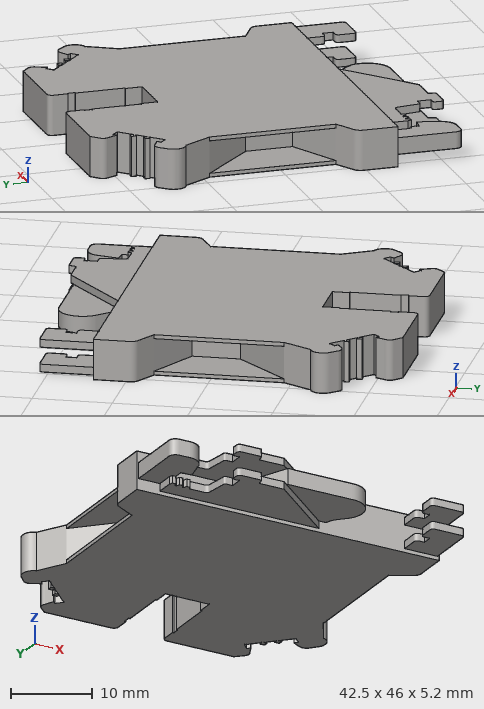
import cadquery as cq


THICKNESS = 5.2
SKIN = 0.5
PLATE_THICKNESS = 1.0
CORE = THICKNESS - 2 * SKIN
CENTER_THICKNESS = CORE - 2 * PLATE_THICKNESS

OVERALL_LENGTH = 45.95
FOOT_DEPTH = 8.9
TOP_Y = OVERALL_LENGTH - FOOT_DEPTH
HALF_WIDTH = 42.5 / 2
WAIST_HALF = 18.0
WAIST_TOP = 23.15
WAIST_BOTTOM = 6.95
BASE_SHOULDER_Y = 5.15
BASE_FILLET = 1.15

SLOT_BOTTOM_HALF = 3.1
SLOT_HALF = 3.25
SLOT_GROOVE_HALF = 3.45
SLOT_BOTTOM_Y = 25.05
SLOT_STEP_Y = 27.2
SLOT_GROOVE_Y = (33.55, 34.5)
SLOT_FILLET = 0.65

LUG_SIZE = 0.65
LUG_CORNERS = [(14.9, 32.2), (16.2, 30.9)]

POCKET_DEPTH = 6.8
POCKET_FLOOR_Y = (10.35, WAIST_TOP - POCKET_DEPTH)

FOOT_OUTER = 21.0
HOOK_INNER = -17.35
HOOK_BOTTOM = -8.45
HOOK_FILLET = 0.9
LOBE_BOTTOM = -7.5

FIXED_INNER = 16.35
FIXED_BOTTOM = -6.8
FIXED_NOTCH_X = 17.55
FIXED_NOTCH_Y = (-4.15, -2.8)
FIXED_FILLET = 0.45

TEETH = 3
TOOTH_PITCH = 1.0
TOOTH_TIP = 0.45
TOOTH_SLOPE = 0.2
TOOTH_ROOT_Y = -2.35
TOOTH_TIP_Y = -2.8
PLATE_EDGE_X = -12.05
PLATE_NECK = (-12.18, -5.8)
NOTCH_FLOOR_X = -11.07
PLATE_SHOULDER_X = -12.65
PLATE_HEEL_Y = -7.95
PLATE_FILLET = 0.45
JAW_FILLET = 0.28

PLATE_LEVELS = [-CORE / 2, CORE / 2 - PLATE_THICKNESS]


def round_corners(body, corners, radius):
    """Fillet the upright edges that stand at the given XY corners."""
    level = body.val().Center().z
    for corner_x, corner_y in corners:
        nearest = cq.selectors.NearestToPointSelector((corner_x, corner_y, level))
        body = body.edges("|Z").edges(nearest).fillet(radius)
    return body


def half_housing():
    """Right half of the housing, from the symmetry plane outwards."""
    low_groove, high_groove = SLOT_GROOVE_Y
    profile = (
        cq.Workplane("XY", origin=(0, 0, -THICKNESS / 2))
        .moveTo(0, 0)
        .lineTo(0, SLOT_BOTTOM_Y)
        .lineTo(SLOT_BOTTOM_HALF, SLOT_BOTTOM_Y)
        .lineTo(SLOT_BOTTOM_HALF, SLOT_STEP_Y)
        .lineTo(SLOT_HALF, SLOT_STEP_Y)
        .lineTo(SLOT_HALF, low_groove)
        .lineTo(SLOT_GROOVE_HALF, low_groove)
        .lineTo(SLOT_GROOVE_HALF, high_groove)
        .lineTo(SLOT_HALF, high_groove)
        .lineTo(SLOT_HALF, TOP_Y - SLOT_FILLET)
        .radiusArc((SLOT_HALF + SLOT_FILLET, TOP_Y), SLOT_FILLET)
        .lineTo(13.33, TOP_Y)
        .lineTo(14.25, 36.15)
        .threePointArc((14.55, 35.6), (14.45, 35.0))
        .lineTo(13.88, 33.77)
        .lineTo(13.45, 34.1)
        .lineTo(12.7, 33.3)
        .lineTo(17.32, 28.65)
        .lineTo(18.05, 29.4)
        .lineTo(17.7, 29.85)
        .lineTo(18.8, 30.45)
        .threePointArc((19.45, 30.6), (20.05, 30.33))
        .lineTo(20.85, 29.4)
        .threePointArc((21.15, 29.0), (HALF_WIDTH, 28.55))
        .lineTo(HALF_WIDTH, 28.2)
        .threePointArc((20.85, 27.3), (20.15, 26.9))
        .lineTo(WAIST_HALF, WAIST_TOP)
        .lineTo(WAIST_HALF, WAIST_BOTTOM)
        .lineTo(HALF_WIDTH, BASE_SHOULDER_Y)
        .lineTo(HALF_WIDTH, 0)
        .close()
        .extrude(THICKNESS)
    )
    profile = round_corners(profile, [(HALF_WIDTH, BASE_SHOULDER_Y)], BASE_FILLET)
    for corner_x, corner_y in LUG_CORNERS:
        center = (corner_x - LUG_SIZE / 2, corner_y - LUG_SIZE / 2, 0)
        profile = profile.union(cq.Workplane("XY").box(LUG_SIZE, LUG_SIZE, THICKNESS).translate(center))
    return profile.cut(side_pocket())


def side_pocket():
    """Tapered pocket that opens on the waist, between the two skins."""
    floor_x = WAIST_HALF - POCKET_DEPTH
    low_floor, high_floor = POCKET_FLOOR_Y
    return (
        cq.Workplane("XY", origin=(0, 0, -CORE / 2))
        .polyline([
            (WAIST_HALF, WAIST_BOTTOM),
            (floor_x, low_floor),
            (floor_x, high_floor),
            (WAIST_HALF, WAIST_TOP),
        ])
        .close()
        .extrude(CORE)
    )


def make_hook():
    """Rail hook below the left end of the housing."""
    return (
        cq.Workplane("XY", origin=(0, 0, -CENTER_THICKNESS / 2))
        .moveTo(-FOOT_OUTER, 0)
        .lineTo(-FOOT_OUTER, HOOK_BOTTOM + HOOK_FILLET)
        .radiusArc((-FOOT_OUTER + HOOK_FILLET, HOOK_BOTTOM), -HOOK_FILLET)
        .lineTo(-18.5, HOOK_BOTTOM)
        .threePointArc((-17.3, -8.05), (-16.5, -7.0))
        .lineTo(-15.85, -4.15)
        .lineTo(HOOK_INNER, -3.95)
        .lineTo(HOOK_INNER, 0)
        .close()
        .extrude(CENTER_THICKNESS)
    )


def make_lobe():
    """Rounded lobe between the clamp plates, below the middle of the housing."""
    return (
        cq.Workplane("XY", origin=(0, 0, -CENTER_THICKNESS / 2))
        .moveTo(-7.6, 0)
        .lineTo(-4.25, LOBE_BOTTOM)
        .lineTo(4.75, LOBE_BOTTOM)
        .threePointArc((7.9, -4.4), (7.1, -2.5))
        .lineTo(5.97, -1.35)
        .threePointArc((5.55, -0.75), (5.38, 0))
        .close()
        .extrude(CENTER_THICKNESS)
    )


def make_fixed_foot(level):
    """Notched foot below the right end of the housing."""
    notch_bottom, notch_top = FIXED_NOTCH_Y
    foot = (
        cq.Workplane("XY", origin=(0, 0, level))
        .polyline([
            (FIXED_INNER, 0),
            (FIXED_INNER, notch_top),
            (FIXED_NOTCH_X, notch_top),
            (FIXED_NOTCH_X, notch_bottom),
            (FIXED_INNER, notch_bottom),
            (FIXED_INNER, FIXED_BOTTOM),
            (FOOT_OUTER, FIXED_BOTTOM),
            (FOOT_OUTER, 0),
        ])
        .close()
        .extrude(PLATE_THICKNESS)
    )
    return round_corners(
        foot,
        [
            (FIXED_INNER, notch_top),
            (FIXED_INNER, notch_bottom),
            (FIXED_INNER, FIXED_BOTTOM),
            (FOOT_OUTER, FIXED_BOTTOM),
        ],
        FIXED_FILLET,
    )


def make_housing():
    """Symmetric housing with its hook, lobe and fixed feet."""
    right_half = half_housing()
    housing = right_half.union(right_half.mirror("YZ")).union(make_hook()).union(make_lobe())
    for level in PLATE_LEVELS:
        housing = housing.union(make_fixed_foot(level))
    return housing


def make_clamp_plate(level):
    """Toothed clamp plate that lies against the hook and the lobe."""
    outline = [(-WAIST_HALF, 0)]
    for index in range(TEETH):
        tooth_x = -WAIST_HALF + index * TOOTH_PITCH
        tip_x = tooth_x + TOOTH_SLOPE
        outline += [
            (tooth_x, TOOTH_ROOT_Y),
            (tip_x, TOOTH_TIP_Y),
            (tip_x + TOOTH_TIP, TOOTH_TIP_Y),
            (tip_x + TOOTH_TIP + TOOTH_SLOPE, TOOTH_ROOT_Y),
        ]
    outline += [
        (PLATE_SHOULDER_X, TOOTH_ROOT_Y),
        PLATE_NECK,
        (NOTCH_FLOOR_X, PLATE_NECK[1]),
        (NOTCH_FLOOR_X, LOBE_BOTTOM),
        (PLATE_EDGE_X, LOBE_BOTTOM),
        (PLATE_EDGE_X, -FOOT_DEPTH),
        (-8.78, -FOOT_DEPTH),
        (-8.5, PLATE_HEEL_Y),
        (-5.05, PLATE_HEEL_Y),
        (4.3, 0),
    ]
    plate = cq.Workplane("XY", origin=(0, 0, level)).polyline(outline).close().extrude(PLATE_THICKNESS)
    large_corners = [(PLATE_SHOULDER_X, TOOTH_ROOT_Y), (PLATE_EDGE_X, -FOOT_DEPTH)]
    plate = round_corners(plate, large_corners, PLATE_FILLET)
    return round_corners(plate, [PLATE_NECK, (PLATE_EDGE_X, LOBE_BOTTOM)], JAW_FILLET)


housing = make_housing()
clamp_plates = [make_clamp_plate(level) for level in PLATE_LEVELS]

result = cq.Compound.makeCompound([housing.val(), *[plate.val() for plate in clamp_plates]])